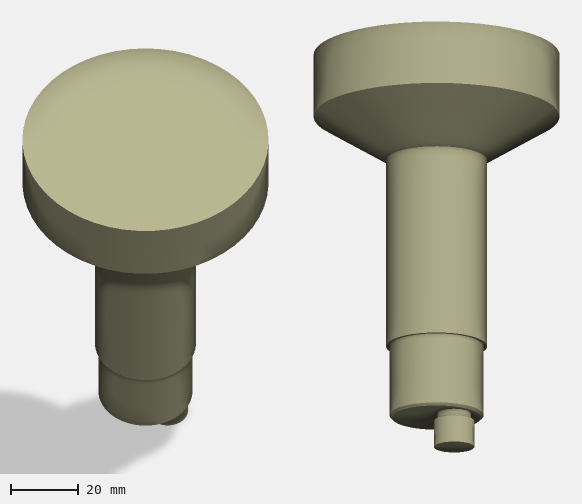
import cadquery as cq

total_height = 122.0
head_diameter = 73.0
head_height = 18.9
cone_height = 13.4
shaft_diameter = 30.0
shaft_length = 57.3
spigot_diameter = 27.9
spigot_length = 22.0
spigot_chamfer = 0.7
neck_diameter = 10.0
pin_diameter = 12.0
pin_length = 8.0
pin_offset_y = 7.0

cone_top = total_height - head_height
shaft_top = cone_top - cone_height
spigot_top = shaft_top - shaft_length
spigot_bottom = spigot_top - spigot_length


def cylinder(diameter, bottom, top, y=0.0):
    """Vertical cylinder between two levels, centred at X = 0."""
    return cq.Workplane("XY", origin=(0, y, bottom)).circle(diameter / 2).extrude(top - bottom)


head = cylinder(head_diameter, cone_top, total_height)
cone = (
    cq.Workplane("XY", origin=(0, 0, shaft_top))
    .circle(shaft_diameter / 2)
    .workplane(offset=cone_height)
    .circle(head_diameter / 2)
    .loft()
)

shaft = cylinder(shaft_diameter, spigot_top, shaft_top)
spigot = cylinder(spigot_diameter, spigot_bottom, spigot_top).faces("<Z").chamfer(spigot_chamfer)

neck = cylinder(neck_diameter, pin_length, spigot_bottom, pin_offset_y)
pin = cylinder(pin_diameter, 0, pin_length, pin_offset_y)

result = head.union(cone).union(shaft).union(spigot).union(neck).union(pin)